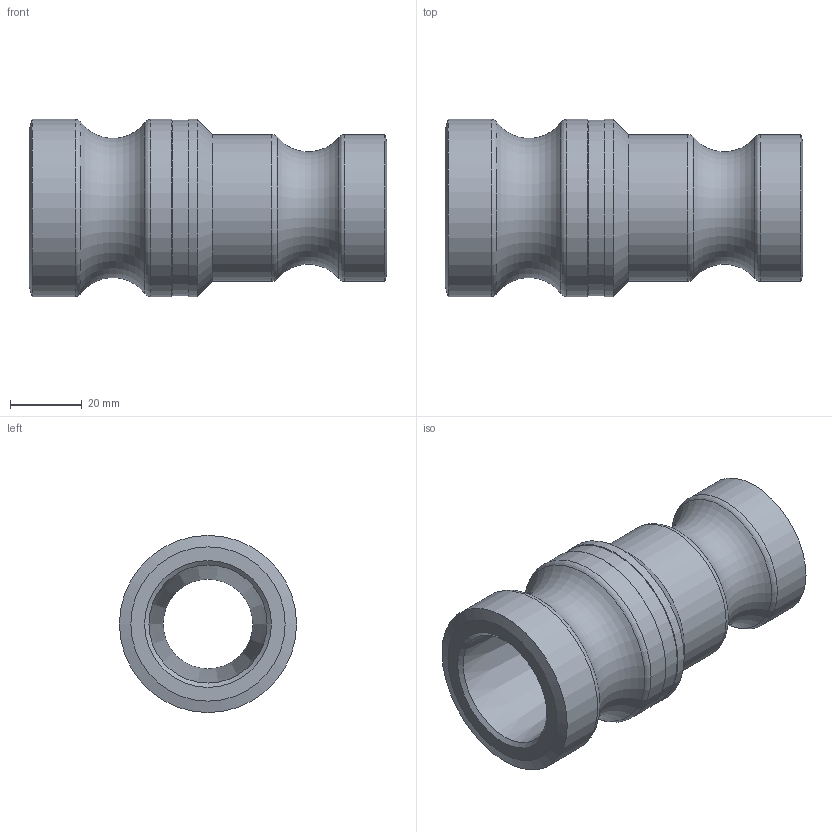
import cadquery as cq
import math

total_length = 100.0

large_radius = 49.5 / 2
large_end_x = 47.05
large_groove_x = 23.42
large_groove_floor_radius = 19.45
large_lead_in_height = 3.2

band_radius = 49.0 / 2
band_start_x = 39.8
band_entry_length = 0.2
band_end_x = 44.55

small_radius = 41.0 / 2
small_groove_x = 78.0
small_groove_floor_radius = 15.7
small_lead_in_height = 2.15

shoulder_length = large_radius - small_radius
small_start_x = large_end_x + shoulder_length

groove_arc_radius = 11.1
groove_blend_radius = 2.0

lead_in_angle = math.radians(15)
large_lead_in_length = large_lead_in_height * math.tan(lead_in_angle)
small_lead_in_length = small_lead_in_height * math.tan(lead_in_angle)

bore_mouth_radius = 33.0 / 2
bore_exit_radius = 25.0 / 2
bore_chamfer_height = 1.2
bore_chamfer_length = 1.0
bore_taper_end_x = large_end_x


def add_groove(profile, center_x, floor_radius, outer_radius):
    """Continue the profile, drawn toward +X, through a locking groove."""
    arc_center_y = floor_radius + groove_arc_radius
    blend_center_y = outer_radius - groove_blend_radius
    center_distance = groove_arc_radius + groove_blend_radius
    wall_angle = math.acos((arc_center_y - blend_center_y) / center_distance)

    half_width = center_distance * math.sin(wall_angle)
    tangent_offset = groove_arc_radius * math.sin(wall_angle)
    tangent_y = arc_center_y - groove_arc_radius * math.cos(wall_angle)
    blend_mid_offset = half_width - groove_blend_radius * math.sin(wall_angle / 2)
    blend_mid_y = blend_center_y + groove_blend_radius * math.cos(wall_angle / 2)

    return (
        profile.lineTo(center_x - half_width, outer_radius)
        .threePointArc((center_x - blend_mid_offset, blend_mid_y), (center_x - tangent_offset, tangent_y))
        .threePointArc((center_x, floor_radius), (center_x + tangent_offset, tangent_y))
        .threePointArc((center_x + blend_mid_offset, blend_mid_y), (center_x + half_width, outer_radius))
    )


def revolve_about_x(profile):
    return profile.close().revolve(360, (0, 0, 0), (1, 0, 0))


def make_body():
    profile = (
        cq.Workplane("XY")
        .lineTo(0, large_radius - large_lead_in_height)
        .lineTo(large_lead_in_length, large_radius)
    )
    profile = add_groove(profile, large_groove_x, large_groove_floor_radius, large_radius)
    profile = (
        profile.lineTo(band_start_x, large_radius)
        .lineTo(band_start_x + band_entry_length, band_radius)
        .lineTo(band_end_x, band_radius)
        .lineTo(band_end_x, large_radius)
        .lineTo(large_end_x, large_radius)
        .lineTo(small_start_x, small_radius)
    )
    profile = add_groove(profile, small_groove_x, small_groove_floor_radius, small_radius)
    profile = (
        profile.lineTo(total_length - small_lead_in_length, small_radius)
        .lineTo(total_length, small_radius - small_lead_in_height)
        .lineTo(total_length, 0)
    )
    return revolve_about_x(profile)


def make_bore():
    profile = (
        cq.Workplane("XY")
        .lineTo(0, bore_mouth_radius + bore_chamfer_height)
        .lineTo(bore_chamfer_length, bore_mouth_radius)
        .lineTo(bore_taper_end_x, bore_exit_radius)
        .lineTo(total_length, bore_exit_radius)
        .lineTo(total_length, 0)
    )
    return revolve_about_x(profile)


result = make_body().cut(make_bore())